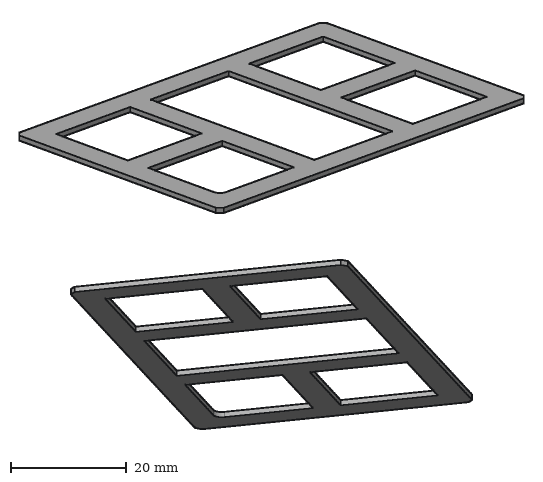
import cadquery as cq

width = 50.0
length = 75.0
thickness = 1.0
corner_chamfer = 1.0

bar = length / 15
corner_window_length = 18.0
rounded_corner_radius = 1.5

inner_width = width - 2 * bar
corner_window_width = (inner_width - bar) / 2
middle_window_length = length - 4 * bar - 2 * corner_window_length
window_x = (corner_window_width + bar) / 2
window_y = length / 2 - bar - corner_window_length / 2


def window(size_x, size_y, x, y):
    """Rectangular cutter through the plate, centred at (x, y)."""
    return cq.Workplane("XY").box(size_x, size_y, 2 * thickness).translate((x, y, 0))


result = cq.Workplane("XY").box(width, length, thickness).edges("|Z").chamfer(corner_chamfer)

result = result.cut(window(inner_width, middle_window_length, 0, 0))

for side_x in (-1, 1):
    for side_y in (-1, 1):
        cutter = window(corner_window_width, corner_window_length, side_x * window_x, side_y * window_y)
        if side_x > 0 and side_y < 0:
            cutter = cutter.edges("|Z and >X and <Y").fillet(rounded_corner_radius)
        result = result.cut(cutter)